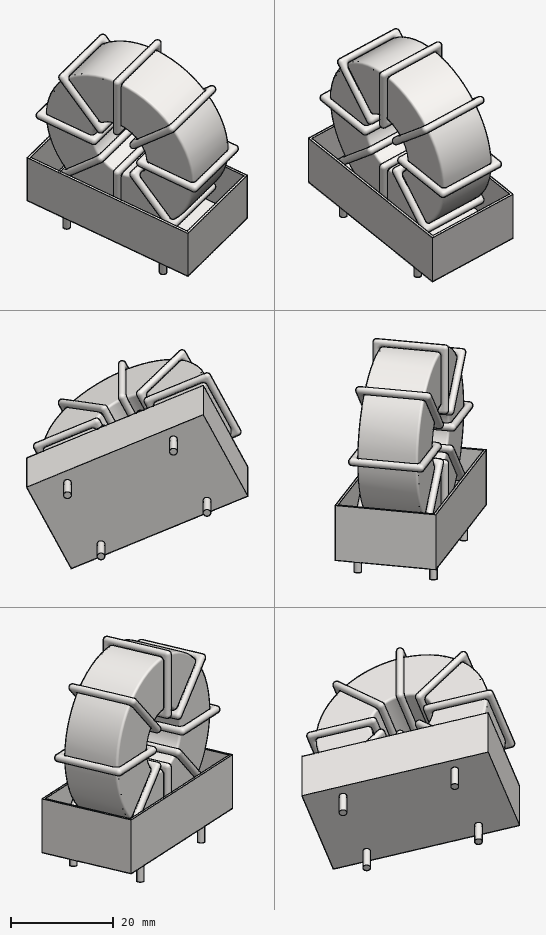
import cadquery as cq

BOX_LENGTH = 38.1
BOX_WIDTH = 20.3
BOX_HEIGHT = 11.4
WALL = 0.5
PIN_DIAMETER = 1.5
PIN_SPACING_X = 22.85
PIN_SPACING_Y = 15.25
TOTAL_HEIGHT = 44.35
PIN_LENGTH = 4.8

LOOP_COUNT = 8
WIRE_DIAMETER = 1.5
WIRE_RADIUS = WIRE_DIAMETER / 2
LOOP_OUTER_RADIUS = BOX_LENGTH / 2
LOOP_INNER_RADIUS = 4.8
LOOP_DEPTH = LOOP_OUTER_RADIUS - LOOP_INNER_RADIUS
LOOP_WIDTH = PIN_SPACING_Y
INNER_BEND_RADIUS = 0.75
WIRE_FLAT = 0.0018
WIRE_FILLET = WIRE_RADIUS - WIRE_FLAT / 2

CORE_OUTER_RADIUS = LOOP_OUTER_RADIUS - WIRE_DIAMETER
CORE_BORE_RADIUS = LOOP_INNER_RADIUS + WIRE_DIAMETER
CORE_WIDTH = LOOP_WIDTH - 2 * WIRE_DIAMETER
CORE_EDGE_FILLET = 0.5
COIL_CENTER_Z = TOTAL_HEIGHT - LOOP_OUTER_RADIUS


def make_box():
    """Open-topped box: floor plate, wall frame and one pin under each corner of the pin grid."""
    floor = (
        cq.Workplane("XY", origin=(0, 0, PIN_LENGTH))
        .rect(BOX_LENGTH, BOX_WIDTH)
        .extrude(WALL)
    )
    walls = (
        cq.Workplane("XY", origin=(0, 0, PIN_LENGTH + WALL))
        .rect(BOX_LENGTH, BOX_WIDTH)
        .rect(BOX_LENGTH - 2 * WALL, BOX_WIDTH - 2 * WALL)
        .extrude(BOX_HEIGHT - WALL)
    )
    pins = (
        cq.Workplane("XY")
        .rect(PIN_SPACING_X, PIN_SPACING_Y, forConstruction=True)
        .vertices()
        .circle(PIN_DIAMETER / 2)
        .extrude(PIN_LENGTH)
    )
    return floor.union(walls, clean=False).union(pins, clean=False)


def make_core():
    """Ring with rounded edges, its axis along Y, centred on the origin."""
    return (
        cq.Workplane("XZ", origin=(0, CORE_WIDTH / 2, 0))
        .circle(CORE_OUTER_RADIUS)
        .circle(CORE_BORE_RADIUS)
        .extrude(CORE_WIDTH)
        .edges("%CIRCLE")
        .fillet(CORE_EDGE_FILLET)
    )


def make_loop():
    """Rectangular loop of round wire around the +X side of the core."""
    window = (
        cq.Workplane("XY")
        .rect(LOOP_DEPTH - 2 * WIRE_DIAMETER, LOOP_WIDTH - 2 * WIRE_DIAMETER)
        .extrude(WIRE_RADIUS, both=True)
        .edges("|Z")
        .fillet(INNER_BEND_RADIUS)
    )
    square_frame = (
        cq.Workplane("XY")
        .rect(LOOP_DEPTH, LOOP_WIDTH)
        .extrude(WIRE_RADIUS, both=True)
        .edges("|Z")
        .fillet(WIRE_RADIUS)
        .cut(window)
    )
    round_frame = square_frame.faces("|Z").edges().fillet(WIRE_FILLET)
    return round_frame.translate((LOOP_INNER_RADIUS + LOOP_DEPTH / 2, 0, 0))


def make_coil():
    """Core with the wire loops evenly spaced around it, one solid."""
    coil = make_core()
    loop = make_loop()
    for i in range(LOOP_COUNT):
        coil = coil.union(loop.rotate((0, 0, 0), (0, 1, 0), i * 360 / LOOP_COUNT))
    return coil.translate((0, 0, COIL_CENTER_Z))


box = make_box()
coil = make_coil()
result = cq.Compound.makeCompound([box.val(), coil.val()])